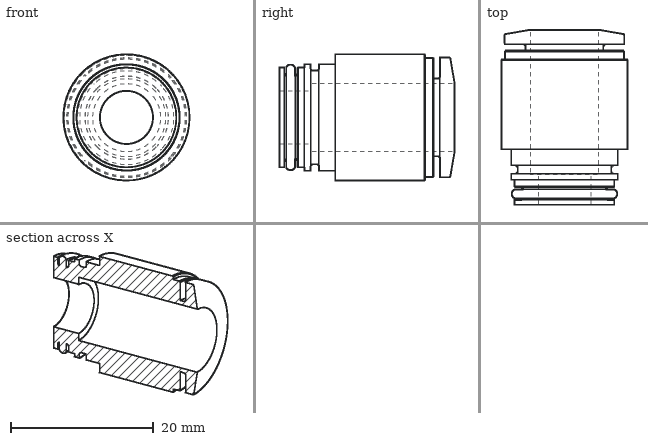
import cadquery as cq
import math

END_DISC_END = 0.70
RING_GROOVE_END = 2.50
PLUG_STEP = 3.50
FLANGE_END = 4.38
CLIP_GROOVE_END = 5.53
BODY_START = 7.78
BODY_END = 20.40
COLLAR_END = 21.62
BUTTON_START = 22.46
TOTAL_LENGTH = 24.50

BORE_DIA = 7.4
TUBE_SOCKET_DIA = 9.52
RING_GROOVE_DIA = 11.6
PLUG_DIA = 14.0
RING_DIA = 14.8
CLIP_GROOVE_DIA = 13.15
FLANGE_DIA = 14.95
BODY_DIA = 17.7
COLLAR_DIA = 16.7
NECK_DIA = 10.92
BUTTON_DIA = 16.8
BUTTON_FACE_DIA = 9.9

RING_WIDTH = 1.26
RING_RIM_HEIGHT = 0.42
RING_CENTRE = 1.55
CLIP_GROOVE_FILLET = 0.30
RING_GROOVE_FILLET = 0.40
NECK_FILLET = 0.30
PLUG_EDGE_CHAMFER = 0.12
BODY_EDGE_CHAMFER = 0.12
COLLAR_EDGE_CHAMFER = 0.15
BUTTON_EDGE_FILLET = 0.25
BUTTON_SHOULDER = 23.90
SHOULDER_SEARCH = 0.1

SOCKET_START = 4.3


def disc(diameter, start, end):
    """Solid cylinder around the Y axis between two stations."""
    return cq.Workplane("XZ", origin=(0, start, 0)).circle(diameter / 2).extrude(start - end)


def chamfered_disc(diameter, start, end, size, edge_side):
    """Cylinder with a chamfer on the rim of one end."""
    return disc(diameter, start, end).faces(edge_side).edges().chamfer(size)


def revolve(profile):
    """Turn a profile drawn in the XY plane around the Y axis."""
    return profile.close().revolve(360, (0, 0, 0), (0, 1, 0))


def filleted_neck(diameter, start, end, start_fillet, end_fillet):
    """Cylinder that flares into its neighbours with concave quarter rounds."""
    radius = diameter / 2
    mid = 1 - math.sqrt(0.5)
    profile = cq.Workplane("XY").moveTo(0, start)
    if start_fillet:
        profile = profile.lineTo(radius + start_fillet, start).threePointArc(
            (radius + mid * start_fillet, start + mid * start_fillet),
            (radius, start + start_fillet),
        )
    else:
        profile = profile.lineTo(radius, start)
    profile = profile.lineTo(radius, end - end_fillet).threePointArc(
        (radius + mid * end_fillet, end - mid * end_fillet),
        (radius + end_fillet, end),
    )
    return revolve(profile.lineTo(0, end))


def sealing_ring():
    """Ring with flat sides and a rounded rim, seated on the floor of its groove."""
    half_width = RING_WIDTH / 2
    rim = RING_DIA / 2
    shoulder = rim - RING_RIM_HEIGHT
    profile = (
        cq.Workplane("XY")
        .moveTo(0, RING_CENTRE - half_width)
        .lineTo(shoulder, RING_CENTRE - half_width)
        .threePointArc((rim, RING_CENTRE), (shoulder, RING_CENTRE + half_width))
        .lineTo(0, RING_CENTRE + half_width)
    )
    return revolve(profile)


def plug():
    """Plug end with its sealing ring seated in a filleted groove."""
    end_disc = disc(PLUG_DIA, 0, END_DISC_END)
    groove = filleted_neck(
        RING_GROOVE_DIA, END_DISC_END, RING_GROOVE_END, RING_GROOVE_FILLET, RING_GROOVE_FILLET
    )
    land = chamfered_disc(PLUG_DIA, RING_GROOVE_END, PLUG_STEP, PLUG_EDGE_CHAMFER, "<Y")
    return end_disc.union(groove).union(sealing_ring()).union(land)


def clip_section():
    """Thin flange, filleted groove and shank between plug and body."""
    flange = disc(FLANGE_DIA, PLUG_STEP, FLANGE_END)
    groove = filleted_neck(
        CLIP_GROOVE_DIA, FLANGE_END, CLIP_GROOVE_END, CLIP_GROOVE_FILLET, CLIP_GROOVE_FILLET
    )
    shank = disc(FLANGE_DIA, CLIP_GROOVE_END, BODY_START)
    return flange.union(groove).union(shank)


def body():
    """Main barrel and the collar on its far end."""
    barrel = chamfered_disc(BODY_DIA, BODY_START, BODY_END, BODY_EDGE_CHAMFER, ">Y")
    collar = chamfered_disc(COLLAR_DIA, BODY_END, COLLAR_END, COLLAR_EDGE_CHAMFER, ">Y")
    return barrel.union(collar)


def release_button():
    """Neck and flanged button with a shallow conical crown."""
    neck = filleted_neck(NECK_DIA, COLLAR_END, BUTTON_START, 0, NECK_FILLET)
    profile = (
        cq.Workplane("XY")
        .moveTo(0, BUTTON_START)
        .lineTo(BUTTON_DIA / 2, BUTTON_START)
        .lineTo(BUTTON_DIA / 2, BUTTON_SHOULDER)
        .lineTo(BUTTON_FACE_DIA / 2, TOTAL_LENGTH)
        .lineTo(0, TOTAL_LENGTH)
    )
    shoulder_edge = cq.selectors.BoxSelector(
        (-BUTTON_DIA, BUTTON_SHOULDER - SHOULDER_SEARCH, -BUTTON_DIA),
        (BUTTON_DIA, BUTTON_SHOULDER + SHOULDER_SEARCH, BUTTON_DIA),
        boundingbox=True,
    )
    button = revolve(profile).edges(shoulder_edge).fillet(BUTTON_EDGE_FILLET)
    return neck.union(button)


def bore():
    """Through hole that widens to the tube socket."""
    through_hole = disc(BORE_DIA, 0, SOCKET_START)
    socket = disc(TUBE_SOCKET_DIA, SOCKET_START, TOTAL_LENGTH)
    return through_hole.union(socket)


result = plug().union(clip_section()).union(body()).union(release_button()).cut(bore())